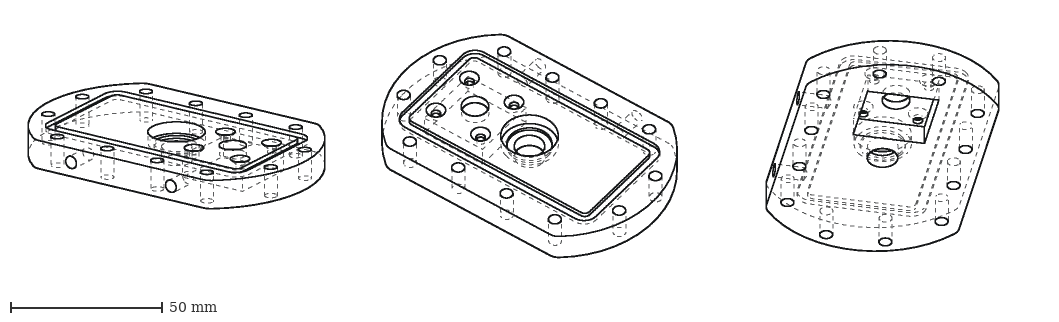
import cadquery as cq
import math

length = 101.9
width = 65.0
thickness = 10.0
flat_half_length = 34.4
outline_corner_radius = 5.0

flange_hole_diameter = 4.3
flange_hole_pitch = 20.0
side_row_count = 4
side_row_y = 26.0
end_pair_x = 44.5

groove_outer_length = 80.0
groove_outer_width = 43.3
groove_outer_radius = 5.0
groove_inner_length = 74.0
groove_inner_width = 36.5
groove_inner_radius = 2.0
groove_depth = 1.5

bearing_diameter = 18.9
bearing_depth = 4.1
relief_diameter = 15.0
relief_depth = 1.0
bore_diameter = 10.1

motor_x = 22.5
motor_web = 3.1
motor_pocket_side = 24.0
motor_hole_diameter = 9.1
motor_screw_pitch = 18.4
motor_screw_diameter = 3.2
countersink_diameter = 6.4
countersink_angle = 90

side_hole_diameter = 4.3
side_hole_pitch = 2 * flange_hole_pitch
side_hole_depth = 10.0
drill_point_angle = 118


def top_plane(part):
    """Workplane on the top face, centred on the plate."""
    return part.faces(">Z").workplane(origin=(0, 0, thickness))


def make_plate():
    x, y = flat_half_length, width / 2
    return (
        cq.Workplane("XY")
        .moveTo(-x, -y)
        .lineTo(x, -y)
        .threePointArc((length / 2, 0), (x, y))
        .lineTo(-x, y)
        .threePointArc((-length / 2, 0), (-x, -y))
        .close()
        .extrude(thickness)
        .edges("|Z")
        .fillet(outline_corner_radius)
    )


def rounded_block(block_length, block_width, corner_radius):
    """Rounded rectangle as tall as the groove is deep, ending at the top face."""
    return (
        cq.Workplane("XY", origin=(0, 0, thickness - groove_depth))
        .rect(block_length, block_width)
        .extrude(groove_depth)
        .edges("|Z")
        .fillet(corner_radius)
    )


def cut_groove(part):
    outer = rounded_block(groove_outer_length, groove_outer_width, groove_outer_radius)
    inner = rounded_block(groove_inner_length, groove_inner_width, groove_inner_radius)
    return part.cut(outer.cut(inner))


def cut_flange_holes(part):
    side_rows = top_plane(part).rarray(flange_hole_pitch, 2 * side_row_y, side_row_count, 2)
    part = side_rows.hole(flange_hole_diameter)
    end_pairs = top_plane(part).rarray(2 * end_pair_x, flange_hole_pitch, 2, 2)
    return end_pairs.hole(flange_hole_diameter)


def cut_stepped_bore(part):
    part = top_plane(part).hole(bearing_diameter, bearing_depth)
    part = top_plane(part).hole(relief_diameter, bearing_depth + relief_depth)
    return top_plane(part).hole(bore_diameter)


def cut_motor_mount(part):
    pocket = (
        cq.Workplane("XY")
        .center(motor_x, 0)
        .rect(motor_pocket_side, motor_pocket_side)
        .extrude(thickness - motor_web)
    )
    part = part.cut(pocket)
    part = top_plane(part).center(motor_x, 0).hole(motor_hole_diameter)
    screws = top_plane(part).center(motor_x, 0).rarray(motor_screw_pitch, motor_screw_pitch, 2, 2)
    return screws.cskHole(motor_screw_diameter, countersink_diameter, countersink_angle)


def cut_side_holes(part):
    radius = side_hole_diameter / 2
    point_length = radius / math.tan(math.radians(drill_point_angle / 2))
    drill = (
        cq.Workplane("XY")
        .polyline([(0, 0), (radius, 0), (radius, side_hole_depth), (0, side_hole_depth + point_length)])
        .close()
        .revolve(360, (0, 0, 0), (0, 1, 0))
    )
    for x in (-side_hole_pitch / 2, side_hole_pitch / 2):
        part = part.cut(drill.translate((x, -width / 2, thickness / 2)))
    return part


result = make_plate()
result = cut_groove(result)
result = cut_flange_holes(result)
result = cut_stepped_bore(result)
result = cut_motor_mount(result)
result = cut_side_holes(result)